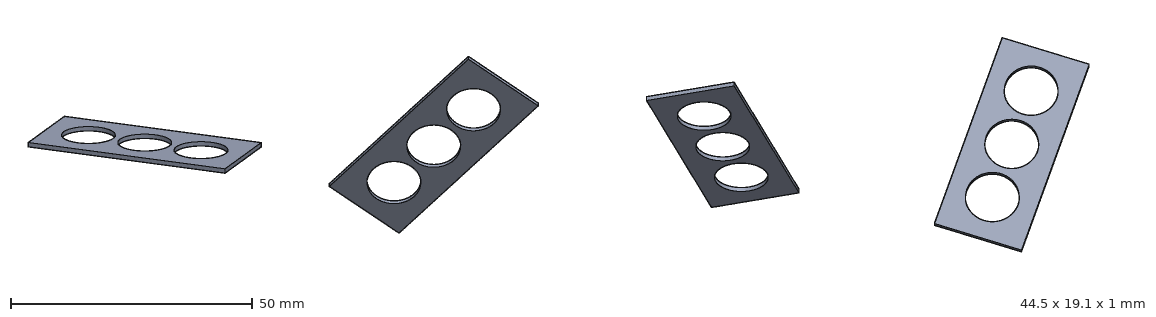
import cadquery as cq

plate_length = 44.45
plate_width = 19.05
plate_thickness = 1.0

hole_count = 3
hole_diameter = 11.15
hole_pitch = 12.7

plate = cq.Workplane("XY").box(plate_length, plate_width, plate_thickness)

result = (
    plate.faces(">Z")
    .workplane()
    .rarray(hole_pitch, 0.45, hole_count, 1)
    .hole(hole_diameter)
)